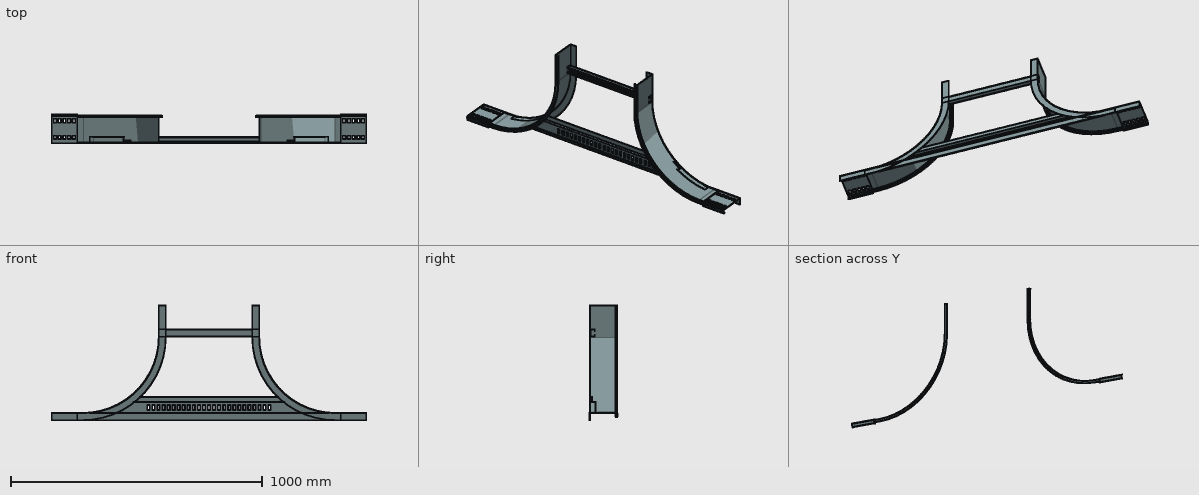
import cadquery as cq
import math

LENGTH = 1250.0
HEIGHT = 456.0
DEPTH = 115.0
SHEET = 1.5

BASE_HEIGHT = 30.0
BASE_EDGE_DROP = 18.0
END_PLATE_LENGTH = 102.0
LEDGE_DEPTH = 25.0
WALL_STEP_Z = 72.0
WALL_TOP_Z = 94.0
WALL_STEP_DEPTH = 14.0
WALL_END_GAP = 1.0

SLOT_COUNT = 25
SLOT_PITCH = 20.0
SLOT_WIDTH = 9.0
SLOT_HEIGHT = 19.0
SLOT_Z = 51.0

HOLE_COUNT = 5
HOLE_PITCH = 19.0
FIRST_HOLE_X = 14.0
HOLE_WIDTH = 10.0
FRONT_HOLE_Y = 24.0
FRONT_HOLE_DEPTH = 12.0
REAR_HOLE_Y = 90.0
REAR_HOLE_DEPTH = 15.0

BEND_START_X = 125.0
RAIL_RADIUS = 300.0
RAIL_FRONT_FLANGE = 29.0
RAIL_EDGE_DROP = 14.0
RAIL_FRONT_Y = 2.0
RAIL_REAR_Y = 112.0
LEG_X = BEND_START_X + RAIL_RADIUS
LEG_START_Z = BASE_HEIGHT + RAIL_RADIUS

EDGE_SLOPE = 8.0
EDGE_SLOPE_DROP = 4.0
EDGE_RETURN = 2.0
LIP_WIDTH = 6.0

RUNG_HEIGHT = 29.0
RUNG_FRONT_Y = 6.0
RUNG_DEPTH = 18.0
RUNG_LIP = 8.0
RUNG_TOP_Z = 361.0


def sheet_outline(points, thickness):
    """Closed outline of a bent sheet: the points and their offset to the right of travel."""
    normals = []
    for (x0, y0), (x1, y1) in zip(points, points[1:]):
        run = math.hypot(x1 - x0, y1 - y0)
        normals.append(((y1 - y0) / run, (x0 - x1) / run))
    offset = []
    for i, (x, y) in enumerate(points):
        before = normals[max(i - 1, 0)]
        after = normals[min(i, len(normals) - 1)]
        mitre = thickness / (1 + before[0] * after[0] + before[1] * after[1])
        offset.append((x + mitre * (before[0] + after[0]), y + mitre * (before[1] + after[1])))
    return points + offset[::-1]


def tray_section(front_y, rear_y, flange_width, edge_drop):
    """Section of a tray: Y across, and height measured up from the outer face of the web."""
    points = [
        (front_y, -flange_width),
        (front_y, 0),
        (rear_y - EDGE_SLOPE, 0),
        (rear_y, -EDGE_SLOPE_DROP),
        (rear_y - EDGE_RETURN, -edge_drop),
        (rear_y - EDGE_RETURN - LIP_WIDTH, -edge_drop),
    ]
    return sheet_outline(points, SHEET)


def mirrored(body):
    """Copy of a shape reflected to the other end of the part."""
    return body.mirror("YZ", (LENGTH / 2, 0, 0))


def make_left_rail():
    """Short flat foot, quarter-circle bend and vertical leg with one section throughout."""
    section = tray_section(RAIL_FRONT_Y, RAIL_REAR_Y, RAIL_FRONT_FLANGE, RAIL_EDGE_DROP)
    foot = (
        cq.Workplane("YZ", origin=(END_PLATE_LENGTH, 0, BASE_HEIGHT))
        .polyline(section)
        .close()
        .extrude(BEND_START_X - END_PLATE_LENGTH)
    )
    bend = (
        cq.Workplane("YZ", origin=(BEND_START_X, 0, BASE_HEIGHT))
        .polyline(section)
        .close()
        .revolve(90, (0, RAIL_RADIUS), (-1, RAIL_RADIUS))
    )
    leg = (
        cq.Workplane("XY", origin=(LEG_X, 0, LEG_START_Z))
        .polyline([(-height, y) for y, height in section])
        .close()
        .extrude(HEIGHT - LEG_START_Z)
    )
    return foot.union(bend).union(leg)


def make_rung():
    """Lipped channel whose ends are flush with the outer faces of the two legs."""
    bottom_z = RUNG_TOP_Z - RUNG_HEIGHT
    rear_y = RUNG_FRONT_Y + RUNG_DEPTH
    points = [
        (rear_y, bottom_z + RUNG_LIP),
        (rear_y, bottom_z),
        (RUNG_FRONT_Y, bottom_z),
        (RUNG_FRONT_Y, RUNG_TOP_Z),
        (rear_y, RUNG_TOP_Z),
        (rear_y, RUNG_TOP_Z - RUNG_LIP),
    ]
    return (
        cq.Workplane("YZ", origin=(LEG_X, 0, 0))
        .polyline(sheet_outline(points, SHEET))
        .close()
        .extrude(LENGTH - 2 * LEG_X)
    )


def make_end_plate():
    """Left end plate with its part of the skirt, rolled rear edge and two rows of holes."""
    section = tray_section(0, DEPTH, BASE_HEIGHT, BASE_EDGE_DROP)
    plate = (
        cq.Workplane("YZ", origin=(0, 0, BASE_HEIGHT))
        .polyline(section)
        .close()
        .extrude(END_PLATE_LENGTH)
    )
    for y, depth in ((FRONT_HOLE_Y, FRONT_HOLE_DEPTH), (REAR_HOLE_Y, REAR_HOLE_DEPTH)):
        centres = [(FIRST_HOLE_X + i * HOLE_PITCH, y) for i in range(HOLE_COUNT)]
        holes = (
            cq.Workplane("XY", origin=(0, 0, BASE_HEIGHT))
            .pushPoints(centres)
            .rect(HOLE_WIDTH, depth)
            .extrude(-SHEET)
        )
        plate = plate.cut(holes)
    return plate


def bend_clearance():
    """Space on the bend's side of the left rail, through its web and the gap beyond."""
    reach = SHEET + WALL_END_GAP
    return (
        cq.Workplane("XZ")
        .moveTo(0, BASE_HEIGHT - reach)
        .lineTo(BEND_START_X, BASE_HEIGHT - reach)
        .radiusArc((LEG_X + reach, LEG_START_Z), -(RAIL_RADIUS + reach))
        .lineTo(0, LEG_START_Z)
        .close()
        .extrude(-DEPTH)
    )


def make_slotted_strip(left_rail):
    """Middle of the base: skirt, ledge and slotted wall, fitted between and around the rails."""
    upper_wall_y = LEDGE_DEPTH - WALL_STEP_DEPTH
    points = [
        (0, 0),
        (0, BASE_HEIGHT),
        (LEDGE_DEPTH, BASE_HEIGHT),
        (LEDGE_DEPTH, WALL_STEP_Z),
        (upper_wall_y, WALL_STEP_Z),
        (upper_wall_y, WALL_TOP_Z),
    ]
    strip = (
        cq.Workplane("YZ")
        .polyline(sheet_outline(points, SHEET))
        .close()
        .extrude(LENGTH)
    )
    slots = (
        cq.Workplane("XZ", origin=(LENGTH / 2, 0, SLOT_Z))
        .rarray(SLOT_PITCH, 12, SLOT_COUNT, 1)
        .rect(SLOT_WIDTH, SLOT_HEIGHT)
        .extrude(-DEPTH)
    )
    skirt = cq.Workplane("XY").box(LENGTH, SHEET, BASE_HEIGHT, centered=False)
    clearance = bend_clearance().union(left_rail).cut(skirt)
    return strip.cut(slots).cut(clearance).cut(mirrored(clearance))


def make_base(left_rail):
    """Slotted strip joined to both end plates as one sheet."""
    end_plate = make_end_plate()
    return make_slotted_strip(left_rail).union(end_plate).union(mirrored(end_plate))


uncut_rail = make_left_rail()
rung = make_rung()
base = make_base(uncut_rail)
left_rail = uncut_rail.cut(rung)
right_rail = mirrored(left_rail)

result = cq.Compound.makeCompound([base.val(), left_rail.val(), right_rail.val(), rung.val()])